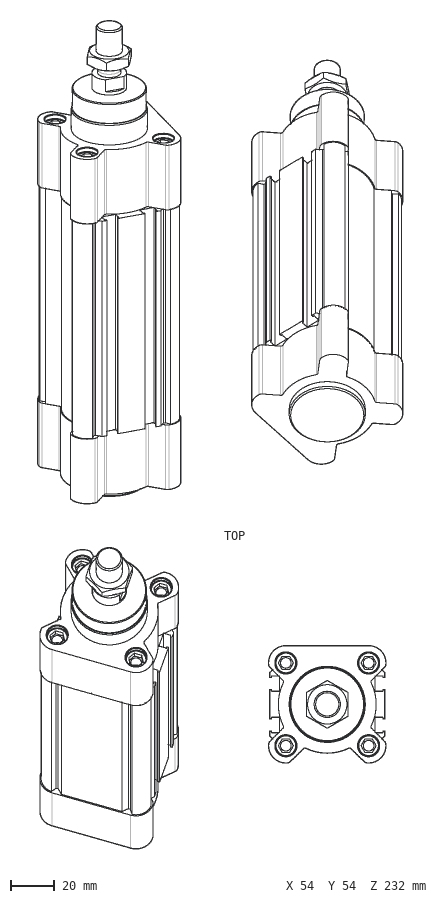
import cadquery as cq
import math


TOTAL_HEIGHT = 232.0
REAR_BOSS_HEIGHT = 4.0
COVER_HEIGHT = 33.0
TUBE_LENGTH = 109.7
FRONT_BOSS_HEIGHT = 10.7
CAP_HEIGHT = 10.2

REAR_COVER_TOP = REAR_BOSS_HEIGHT + COVER_HEIGHT
TUBE_TOP = REAR_COVER_TOP + TUBE_LENGTH
FRONT_COVER_TOP = TUBE_TOP + COVER_HEIGHT
FRONT_BOSS_TOP = FRONT_COVER_TOP + FRONT_BOSS_HEIGHT
CAP_TOP = FRONT_BOSS_TOP + CAP_HEIGHT

COVER_HALF_WIDTH = 54.0 / 2
SCREW_OFFSET = 19.0
COVER_WEB_WIDTH = 13.2
BARREL_RADIUS = 22.5
LOBE_BLEND = 2.3
BARREL_BLEND = 1.0

RECESS_RIM_DIAMETER = 10.2
RECESS_DIAMETER = 9.5
RECESS_DEPTH = 2.0
SEAT_DIAMETER = 9.0
SEAT_DEPTH = 0.5
SOCKET_WIDTH = 6.0
SOCKET_DEPTH = 2.8
SCREW_HOLE_DIAMETER = 4.9
SCREW_HOLE_DEPTH = 7.0
DRILL_POINT_ANGLE = 118.0

BOSS_RADIUS = 35.0 / 2
BOSS_CHAMFER = 0.7
CAP_RADIUS = 17.2
CAP_WAIST_RADIUS = 17.0
CAP_CHAMFER = 0.5

TUBE_HALF_WIDTH = 26.5
TUBE_WEB_WIDTH = 13.5
TUBE_BARREL_RADIUS = 22.0

GROOVE_FLOOR = 24.1
GROOVE_FLOOR_START = 17.0
GROOVE_FLOOR_END = 17.9
GROOVE_MOUTH_START = 14.5
GROOVE_MOUTH_END = 19.5

SLOT_CENTER = 9.5
SLOT_WIDTH = 7.0
SLOT_MOUTH_WIDTH = 5.5
SLOT_FLOOR = 22.0
SLOT_LIP = 1.0

ROD_RADIUS = 16.0 / 2
THREAD_RADIUS = 12.0 / 2
NECK_RADIUS = 10.7 / 2
ROD_SHOULDER = 208.0
NECK_TOP = 209.6
THREAD_BOTTOM = 212.2
ROD_CHAMFER = 0.7
FLAT_SPACING = 13.0
FLAT_BOTTOM = 202.0

NUT_WIDTH = 19.0
NUT_HEIGHT = 6.0
NUT_TOP = 219.1
NUT_BOTTOM = NUT_TOP - NUT_HEIGHT
NUT_FACE_RADIUS = 9.0
NUT_CHAMFER_ANGLE = 30.0

SIGNS = (-1, 1)
ORIGIN = (0, 0, 0)
Z_END = (0, 0, 1)
SCREW_POINTS = [(SCREW_OFFSET * i, SCREW_OFFSET * j) for i in SIGNS for j in SIGNS]
HEX_HALF_ANGLE = math.radians(30)


def plane_at(height):
    return cq.Workplane("XY").workplane(offset=height)


def cylinder(radius, bottom, top):
    return plane_at(bottom).circle(radius).extrude(top - bottom)


def revolved(radius_height_points):
    """Solid of revolution about Z from a closed (radius, z) outline."""
    return cq.Workplane("XZ").polyline(radius_height_points).close().revolve(360, (0, 0), (0, 1))


def screw_webs(half_width, web_width, bottom, top):
    """Two crossing diagonal webs, each ending in an arc about the screw axis at both corners."""
    radius = half_width - SCREW_OFFSET
    half_web = web_width / 2
    axis_distance = SCREW_OFFSET * math.sqrt(2)
    tip = axis_distance + radius
    arc_end = axis_distance + math.sqrt(radius**2 - half_web**2)
    web = (
        plane_at(bottom)
        .moveTo(arc_end, -half_web)
        .threePointArc((tip, 0), (arc_end, half_web))
        .lineTo(-arc_end, half_web)
        .threePointArc((-tip, 0), (-arc_end, -half_web))
        .close()
        .extrude(top - bottom)
    )
    return web.rotate(ORIGIN, Z_END, 45).union(web.rotate(ORIGIN, Z_END, 135))


def flat_side(half_width, bottom, top):
    """Block that fills the lobed outline out to a flat +Y side between the screw axes."""
    outline = plane_at(bottom).center(0, half_width / 2).rect(2 * SCREW_OFFSET, half_width)
    return outline.extrude(top - bottom)


def on_barrel(edge):
    """True for the edges where the webs meet the barrel, well inside the lobe edges."""
    center = edge.Center()
    return math.hypot(center.x, center.y) < BARREL_RADIUS + BARREL_BLEND


def end_cover(bottom, top):
    cover = screw_webs(COVER_HALF_WIDTH, COVER_WEB_WIDTH, bottom, top).edges("|Z").fillet(LOBE_BLEND)
    cover = cover.union(cylinder(BARREL_RADIUS, bottom, top))
    cover = cover.edges("|Z").filter(on_barrel).fillet(BARREL_BLEND)
    return cover.union(flat_side(COVER_HALF_WIDTH, bottom, top))


def tube_grooves():
    """Grooves beside the lobes, one at each end of all four sides."""
    outline = [
        (GROOVE_MOUTH_START, TUBE_HALF_WIDTH),
        (GROOVE_FLOOR_START, GROOVE_FLOOR),
        (GROOVE_FLOOR_END, GROOVE_FLOOR),
        (GROOVE_MOUTH_END, TUBE_HALF_WIDTH),
    ]
    grooves = cq.Workplane("XY")
    for side in range(4):
        for sign in SIGNS:
            points = [(sign * x, y) for x, y in outline]
            groove = plane_at(REAR_COVER_TOP).polyline(points).close().extrude(TUBE_LENGTH)
            grooves = grooves.add(groove.rotate(ORIGIN, Z_END, 90 * side))
    return grooves.combine()


def tube_slots():
    """Two T-slots on each X side."""
    mouth_depth = TUBE_HALF_WIDTH - SLOT_FLOOR
    cavity_depth = mouth_depth - SLOT_LIP
    cavity_center = SLOT_FLOOR + cavity_depth / 2
    mouth_center = SLOT_FLOOR + mouth_depth / 2
    mouth_points = [(i * mouth_center, j * SLOT_CENTER) for i in SIGNS for j in SIGNS]
    cavity_points = [(i * cavity_center, j * SLOT_CENTER) for i in SIGNS for j in SIGNS]
    start = plane_at(REAR_COVER_TOP)
    mouths = start.pushPoints(mouth_points).rect(mouth_depth, SLOT_MOUTH_WIDTH).extrude(TUBE_LENGTH)
    cavities = start.pushPoints(cavity_points).rect(cavity_depth, SLOT_WIDTH).extrude(TUBE_LENGTH)
    return mouths.union(cavities)


def tube():
    profile = screw_webs(TUBE_HALF_WIDTH, TUBE_WEB_WIDTH, REAR_COVER_TOP, TUBE_TOP)
    profile = profile.union(cylinder(TUBE_BARREL_RADIUS, REAR_COVER_TOP, TUBE_TOP))
    side_blocks = plane_at(REAR_COVER_TOP).rect(2 * TUBE_HALF_WIDTH, 2 * SCREW_OFFSET).extrude(TUBE_LENGTH)
    profile = profile.union(side_blocks).union(flat_side(TUBE_HALF_WIDTH, REAR_COVER_TOP, TUBE_TOP))
    return profile.cut(tube_grooves()).cut(tube_slots())


def rear_boss():
    return cylinder(BOSS_RADIUS, 0, REAR_BOSS_HEIGHT).faces("<Z").chamfer(BOSS_CHAMFER)


def front_boss():
    return cylinder(BOSS_RADIUS, FRONT_COVER_TOP, FRONT_BOSS_TOP).faces(">Z").chamfer(BOSS_CHAMFER)


def bearing_cap():
    middle = (FRONT_BOSS_TOP + CAP_TOP) / 2
    outline = (
        cq.Workplane("XZ")
        .moveTo(0, FRONT_BOSS_TOP)
        .lineTo(CAP_RADIUS, FRONT_BOSS_TOP)
        .threePointArc((CAP_WAIST_RADIUS, middle), (CAP_RADIUS, CAP_TOP))
        .lineTo(0, CAP_TOP)
        .close()
    )
    return outline.revolve(360, (0, 0), (0, 1)).faces(">Z").chamfer(CAP_CHAMFER)


def screw_recesses():
    """Stepped round recess, hexagon socket and drilled hole on each screw axis of the front cover."""
    rim = RECESS_RIM_DIAMETER / 2
    wall = RECESS_DIAMETER / 2
    seat = SEAT_DIAMETER / 2
    hole = SCREW_HOLE_DIAMETER / 2
    recess_floor = FRONT_COVER_TOP - RECESS_DEPTH
    seat_floor = recess_floor - SEAT_DEPTH
    socket_floor = seat_floor - SOCKET_DEPTH
    hole_bottom = socket_floor - SCREW_HOLE_DEPTH
    point = hole_bottom - hole / math.tan(math.radians(DRILL_POINT_ANGLE / 2))
    recess = revolved([
        (0, point),
        (hole, hole_bottom),
        (hole, seat_floor),
        (seat, seat_floor),
        (seat, recess_floor),
        (wall, recess_floor),
        (wall, FRONT_COVER_TOP - (rim - wall)),
        (rim, FRONT_COVER_TOP),
        (0, FRONT_COVER_TOP),
    ])
    socket_corners = SOCKET_WIDTH / math.cos(HEX_HALF_ANGLE)
    socket = plane_at(socket_floor).polygon(6, socket_corners).extrude(SOCKET_DEPTH)
    recess = recess.union(socket)
    recesses = cq.Workplane("XY")
    for x, y in SCREW_POINTS:
        recesses = recesses.add(recess.translate((x, y, 0)))
    return recesses.combine()


def build_housing():
    housing = tube().union(end_cover(REAR_BOSS_HEIGHT, REAR_COVER_TOP))
    housing = housing.union(end_cover(TUBE_TOP, FRONT_COVER_TOP))
    housing = housing.union(rear_boss()).union(front_boss()).union(bearing_cap())
    rod_bore = cylinder(ROD_RADIUS, TUBE_TOP, CAP_TOP)
    return housing.cut(screw_recesses()).cut(rod_bore)


def build_piston_rod():
    """Stepped rod with a relief neck and two wrench flats."""
    rod = revolved([
        (0, TUBE_TOP),
        (ROD_RADIUS, TUBE_TOP),
        (ROD_RADIUS, ROD_SHOULDER),
        (NECK_RADIUS, ROD_SHOULDER),
        (NECK_RADIUS, NECK_TOP),
        (THREAD_RADIUS, THREAD_BOTTOM),
        (THREAD_RADIUS, TOTAL_HEIGHT - ROD_CHAMFER),
        (THREAD_RADIUS - ROD_CHAMFER, TOTAL_HEIGHT),
        (0, TOTAL_HEIGHT),
    ])
    flat_height = ROD_SHOULDER - FLAT_BOTTOM
    for sign in SIGNS:
        center = sign * (FLAT_SPACING / 2 + ROD_RADIUS)
        flat = plane_at(FLAT_BOTTOM).center(center, 0).rect(2 * ROD_RADIUS, 2 * ROD_RADIUS)
        rod = rod.cut(flat.extrude(flat_height))
    return rod


def build_lock_nut():
    """Hexagon with corners along Y, its corners chamfered by a cone at both faces."""
    across_corners = NUT_WIDTH / math.cos(HEX_HALF_ANGLE)
    corner = across_corners / 2
    drop = (corner - NUT_FACE_RADIUS) * math.tan(math.radians(NUT_CHAMFER_ANGLE))
    hexagon = plane_at(NUT_BOTTOM).polygon(6, across_corners).extrude(NUT_HEIGHT)
    hexagon = hexagon.rotate(ORIGIN, Z_END, 90)
    corner_cones = revolved([
        (0, NUT_BOTTOM),
        (NUT_FACE_RADIUS, NUT_BOTTOM),
        (corner, NUT_BOTTOM + drop),
        (corner, NUT_TOP - drop),
        (NUT_FACE_RADIUS, NUT_TOP),
        (0, NUT_TOP),
    ])
    return hexagon.intersect(corner_cones).cut(cylinder(THREAD_RADIUS, NUT_BOTTOM, NUT_TOP))


housing = build_housing()
piston_rod = build_piston_rod()
lock_nut = build_lock_nut()

result = cq.Compound.makeCompound([housing.val(), piston_rod.val(), lock_nut.val()])